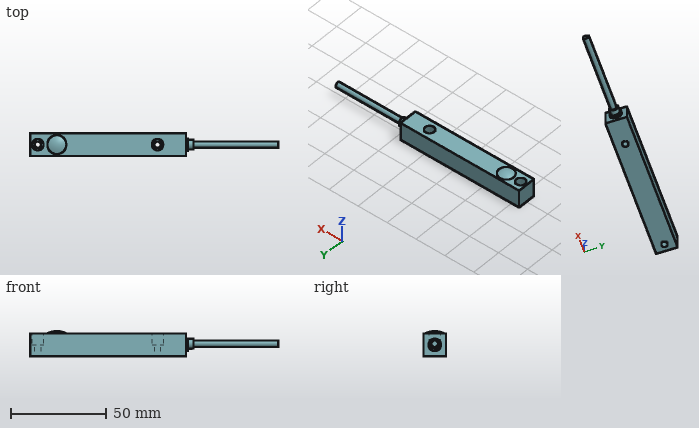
import cadquery as cq

housing_length = 82.0
housing_width = 12.0
housing_height = 12.0
housing_mid_height = housing_height / 2

hole_diameter = 3.3
counterbore_diameter = 6.0
counterbore_depth = 6.0
first_hole_x = 4.0
hole_spacing = 63.0

dome_diameter = 10.0
dome_height = 1.27
dome_x = 14.0

flange_diameter = 6.5
flange_thickness = 1.0
collar_diameter = 5.3
grommet_length = 4.0
cable_diameter = 3.5
cable_reach = 48.52
cable_axis_height = housing_mid_height + (flange_diameter - collar_diameter) / 2


def make_dome():
    """Spherical cap revolved about its vertical axis, with its flat base on the housing top."""
    base_radius = dome_diameter / 2
    sphere_radius = (base_radius**2 + dome_height**2) / (2 * dome_height)
    return (
        cq.Workplane("XZ", origin=(dome_x, 0, housing_height))
        .lineTo(base_radius, 0)
        .radiusArc((0, dome_height), -sphere_radius)
        .close()
        .revolve(360, (0, 0, 0), (0, 1, 0))
    )


def make_housing():
    """Block with the dome on top and a counterbored through hole near each end."""
    block = cq.Workplane("XY").box(
        housing_length, housing_width, housing_height, centered=(False, True, False)
    )
    housing = block.union(make_dome())
    for hole_x in (first_hole_x, first_hole_x + hole_spacing):
        through_hole = cq.Workplane("XY").center(hole_x, 0).circle(hole_diameter / 2).extrude(housing_height)
        counterbore = (
            cq.Workplane("XY", origin=(hole_x, 0, housing_height))
            .circle(counterbore_diameter / 2)
            .extrude(-counterbore_depth)
        )
        housing = housing.cut(through_hole).cut(counterbore)
    return housing


def make_end_cylinder(diameter, reach, axis_height):
    """Cylinder along +X that starts on the end face of the housing."""
    return (
        cq.Workplane("YZ", origin=(housing_length, 0, axis_height))
        .circle(diameter / 2)
        .extrude(reach)
    )


def make_cable():
    """Cable moulded together with its flange and collar."""
    flange = make_end_cylinder(flange_diameter, flange_thickness, housing_mid_height)
    collar = make_end_cylinder(collar_diameter, grommet_length, cable_axis_height)
    cord = make_end_cylinder(cable_diameter, cable_reach, cable_axis_height)
    return flange.union(collar).union(cord)


housing = make_housing()
cable = make_cable()

result = cq.Compound.makeCompound([housing.val(), cable.val()])